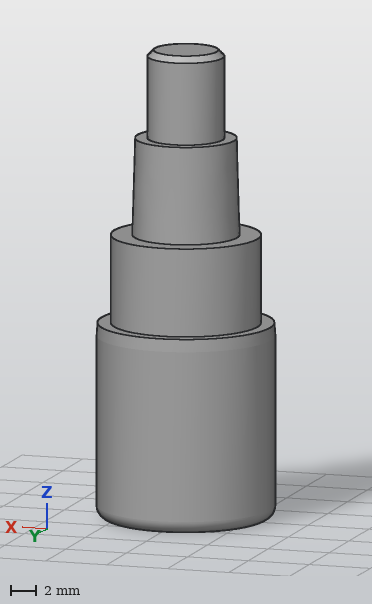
import cadquery as cq

total_height = 37.2
sleeve_height = 7.0
taper_height = 7.7
tip_height = 7.0
knob_height = total_height - sleeve_height - taper_height - tip_height

knob_radius = 7.0
knob_fillet = 1.0
rim_height = 1.0
rim_top_radius = 6.92

sleeve_radius = 5.88
taper_base_radius = 4.2
taper_top_radius = 3.98
tip_radius = 3.0
tip_chamfer = 0.5


def make_knob():
    """Round knob with a slightly tapered rim and a rounded bottom edge."""
    rim_base_z = knob_height - rim_height
    profile = (
        cq.Workplane("XZ")
        .moveTo(0, 0)
        .lineTo(knob_radius, 0)
        .lineTo(knob_radius, rim_base_z)
        .lineTo(rim_top_radius, knob_height)
        .lineTo(0, knob_height)
        .close()
    )
    body = profile.revolve(360, (0, 0), (0, 1))
    return body.faces("<Z").edges().fillet(knob_fillet)


def make_pin():
    """Cylindrical sleeve, tapered seat and chamfered tip as one turned body."""
    sleeve_top_z = knob_height + sleeve_height
    taper_top_z = sleeve_top_z + taper_height
    profile = (
        cq.Workplane("XZ")
        .moveTo(0, knob_height)
        .lineTo(sleeve_radius, knob_height)
        .lineTo(sleeve_radius, sleeve_top_z)
        .lineTo(taper_base_radius, sleeve_top_z)
        .lineTo(taper_top_radius, taper_top_z)
        .lineTo(tip_radius, taper_top_z)
        .lineTo(tip_radius, total_height)
        .lineTo(0, total_height)
        .close()
    )
    body = profile.revolve(360, (0, 0), (0, 1))
    return body.faces(">Z").edges().chamfer(tip_chamfer)


knob = make_knob()
pin = make_pin()

result = cq.Compound.makeCompound([knob.val(), pin.val()])